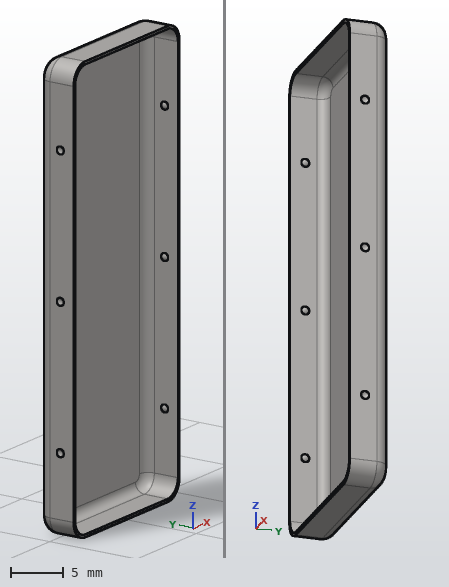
import cadquery as cq

width = 17.9
depth = 4.0
height = 47.2
wall = 0.3
corner_radius = 2.0
floor_edge_radius = 1.3

dimple_radius = 0.4
dimple_depth = 0.2
dimple_sphere_radius = (dimple_radius**2 + dimple_depth**2) / (2 * dimple_depth)
dimple_from_rim = 1.5
dimple_pitch = 15.0


def rounded_block(inset):
    """Block shrunk by inset on every side but the rim, rounded at corners and floor edge."""
    return (
        cq.Workplane("XZ")
        .rect(width - 2 * inset, height - 2 * inset)
        .extrude(-(depth - inset))
        .edges("|Y")
        .fillet(corner_radius - inset)
        .faces(">Y")
        .edges()
        .fillet(floor_edge_radius - inset)
    )


def dimple_cap(base_x, root_length, z):
    """Round cap bulging towards +X from base_x, on a straight root reaching back to -X."""
    return (
        cq.Workplane("XY", origin=(base_x, dimple_from_rim, z))
        .moveTo(-root_length, 0)
        .lineTo(dimple_depth, 0)
        .radiusArc((0, dimple_radius), -dimple_sphere_radius)
        .lineTo(-root_length, dimple_radius)
        .close()
        .revolve(360, (0, 0), (1, 0))
    )


result = rounded_block(0).cut(rounded_block(wall))

outer_face = -width / 2
for z in (-dimple_pitch, 0, dimple_pitch):
    bump = dimple_cap(outer_face + wall, wall / 2, z)
    dimple = dimple_cap(outer_face, wall, z)
    result = result.union(bump).union(bump.mirror("YZ"))
    result = result.cut(dimple).cut(dimple.mirror("YZ"))